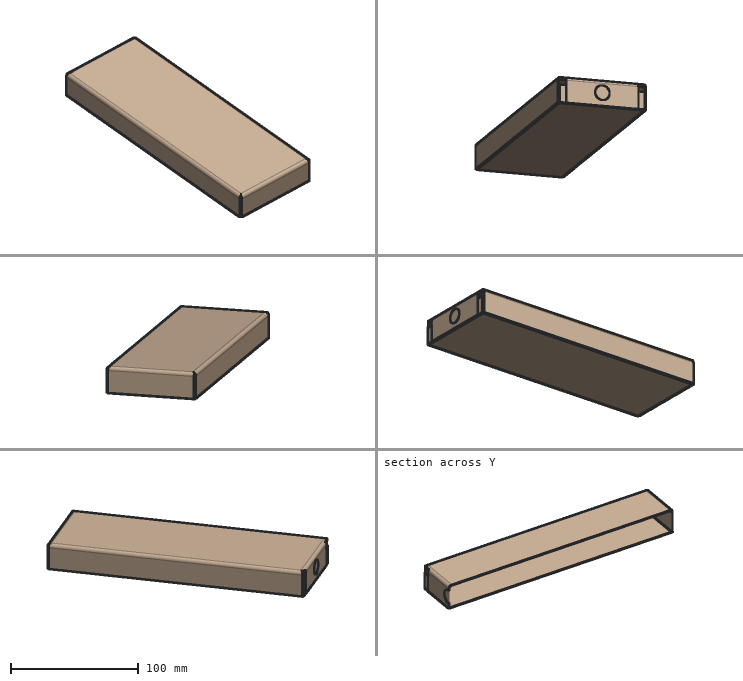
import cadquery as cq

length = 209.0
width = 73.0
height = 21.7

sheet = 1.3
bend_radius = 3.0
corner_relief = 1.5

floor_thickness = 1.3
floor_protrusion = 0.6

mark_depth = 0.2
disc_diameter = 12.0
disc_height = 11.3
notch_end = 6.7
notch_bottom = height - 6.7
notch_top = height - sheet


def rounded_block(size_x, size_y, bottom, top, radius):
    """Block whose four top edges are rounded and meet in mitred corners."""
    size_z = top - bottom
    block = cq.Workplane("XY").box(size_x, size_y, size_z, centered=(True, True, False))
    across = block.edges(">Z and |X").fillet(radius)
    along = block.edges(">Z and |Y").fillet(radius)
    return across.intersect(along).translate((0, 0, bottom))


def make_cover():
    """Open-bottomed tray with bent walls separated at the corners."""
    outside = rounded_block(length, width, floor_protrusion, height, bend_radius)
    inside = rounded_block(
        length - 2 * sheet, width - 2 * sheet, 0, height - sheet, bend_radius - sheet
    )
    reliefs = (
        cq.Workplane("XY")
        .rect(length, width, forConstruction=True)
        .vertices()
        .rect(2 * corner_relief, 2 * corner_relief)
        .extrude(height)
    )
    return outside.cut(inside).cut(reliefs)


def make_floor():
    """Plate fitted between the cover walls."""
    return cq.Workplane("XY").box(
        length - 2 * sheet, width - 2 * sheet, floor_thickness, centered=(True, True, False)
    )


def make_disc_recess():
    """Shallow round recess in the middle of the -X wall."""
    return (
        cq.Workplane("YZ", origin=(-length / 2, 0, disc_height))
        .circle(disc_diameter / 2)
        .extrude(mark_depth)
    )


def make_corner_pocket(side, bottom, top, depth):
    """Rectangular cut into the -X wall at one of its ends."""
    pocket_width = notch_end - corner_relief
    centre_y = side * (width / 2 - corner_relief - pocket_width / 2)
    return (
        cq.Workplane("XY", origin=(-length / 2 + depth / 2, centre_y, bottom))
        .rect(depth, pocket_width)
        .extrude(top - bottom)
    )


cover = make_cover().cut(make_disc_recess())
for side in (-1, 1):
    cover = cover.cut(make_corner_pocket(side, notch_bottom, notch_top, sheet))
    cover = cover.cut(make_corner_pocket(side, 0, notch_bottom, mark_depth))

result = cover.union(make_floor())